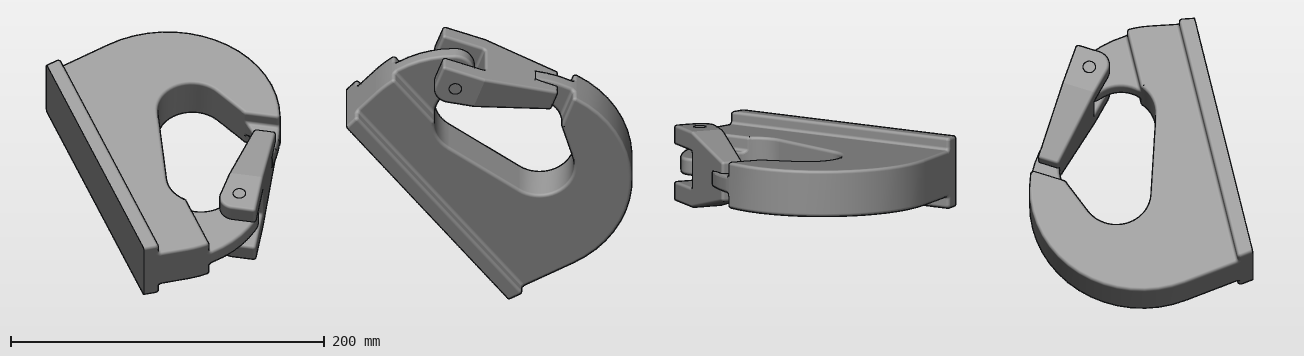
import cadquery as cq
import math


BASE_HALF_WIDTH = 83.7
BASE_HALF_HEIGHT = 22.9
BASE_THICKNESS = 10.0
HOOK_HALF_THICKNESS = 14.9
TANG_HALF_THICKNESS = 5.5
EDGE_RADIUS = 2.0

HOOK_LEFT = -92.6
HOOK_TOP = 129.9
BACK_RADIUS = 72.0
ARM_RIGHT = 89.0
ARM_RADIUS = 66.7
ARM_END_RADIUS = 12.2
ARM_STEP_Y = 43.0

OPENING_RADIUS = 22.0
OPENING_LEFT = (-20.2, 74.8)
OPENING_RIGHT_X = 33.0
TIP_SLOPE = 22.0
TIP_ROUND_X = 2.9

PIN = (64.3, 73.2)
PIN_DIAMETER = 8.0

LATCH_TIP = (15.3, 118.0)
LATCH_ANGLE = -31.4
LATCH_LENGTH = 78.0
LATCH_TIP_WIDTH = 14.0
LATCH_FLARE = 9.2
LATCH_END_RADIUS = 9.8
LATCH_HALF_HEIGHT = 24.5
LATCH_BEND = 49.4
LATCH_TIP_HALF_HEIGHT = 12.5
LATCH_EDGE_RADIUS = 1.8
FORK_START = LATCH_BEND
FORK_HALF_GAP = 12.0
FORK_EDGE_RADIUS = 1.8
TONGUE_STEP = -10.2
TONGUE_END = 15.6

LATCH_ORIGIN = (*LATCH_TIP, 0)
LATCH_U = cq.Vector(math.cos(math.radians(LATCH_ANGLE)), math.sin(math.radians(LATCH_ANGLE)), 0)
LATCH_V = cq.Vector(-LATCH_U.y, LATCH_U.x, 0)

BACK = (HOOK_LEFT + BACK_RADIUS, HOOK_TOP - BACK_RADIUS)
ARM_X = ARM_RIGHT - ARM_RADIUS
ARM = (ARM_X, PIN[1] - math.sqrt((ARM_RADIUS - ARM_END_RADIUS) ** 2 - (PIN[0] - ARM_X) ** 2))
OPENING_RIGHT = (
    OPENING_RIGHT_X,
    PIN[1] - math.sqrt((OPENING_RADIUS + ARM_END_RADIUS) ** 2 - (PIN[0] - OPENING_RIGHT_X) ** 2),
)
TIP_ROUND = (
    TIP_ROUND_X,
    OPENING_LEFT[1] + (TIP_ROUND_X - OPENING_LEFT[0]) * math.tan(math.radians(TIP_SLOPE)),
)


def on_circle(centre, radius, angle):
    a = math.radians(angle)
    return (centre[0] + radius * math.cos(a), centre[1] + radius * math.sin(a))


def bearing(start, end):
    """Direction from start to end, in degrees."""
    return math.degrees(math.atan2(end[1] - start[1], end[0] - start[0]))


def tangent_angle(centre, radius, point, side):
    """Angle on the circle of the tangent from an outside point; side is +1 or -1."""
    opening = math.degrees(math.acos(radius / math.dist(centre, point)))
    return bearing(centre, point) + side * opening


def tongue_end_angle(centre, radius):
    """Angle on the circle of its upper crossing with the line u = TONGUE_END."""
    offset = TONGUE_END + (cq.Vector(*LATCH_TIP) - cq.Vector(*centre)).dot(LATCH_U)
    return LATCH_ANGLE + math.degrees(math.acos(offset / radius))


def add_arc(outline, centre, radius, start, end):
    """Draw a circular arc from the current point, between two angles."""
    middle = on_circle(centre, radius, (start + end) / 2)
    return outline.threePointArc(middle, on_circle(centre, radius, end))


def slab(outline, half_height):
    return outline.close().extrude(half_height, both=True)


def latch_plane():
    """Plane of the latch frame at Z = 0."""
    return cq.Workplane(cq.Plane(origin=LATCH_ORIGIN, xDir=LATCH_U, normal=(0, 0, 1)))


def latch_side_plane():
    """Upright plane along the latch; its local axes are u and Z."""
    return cq.Workplane(cq.Plane(origin=LATCH_ORIGIN, xDir=LATCH_U, normal=(-LATCH_V).toTuple()))


def make_pin():
    return cq.Workplane("XY").center(*PIN).circle(PIN_DIAMETER / 2).extrude(LATCH_HALF_HEIGHT, both=True)


def make_hook_outline():
    base_right = (BASE_HALF_WIDTH, 0)
    base_left = (-BASE_HALF_WIDTH, 0)
    arm_start = tangent_angle(ARM, ARM_RADIUS, base_right, 1)
    arm_top = bearing(ARM, PIN)
    neck = bearing(OPENING_RIGHT, PIN)
    lower_edge = bearing(OPENING_LEFT, OPENING_RIGHT) - 90
    upper_edge = TIP_SLOPE + 90
    back_end = tangent_angle(BACK, BACK_RADIUS, base_left, -1) % 360

    outline = cq.Workplane("XY").moveTo(*base_left).lineTo(*base_right)
    outline = outline.lineTo(*on_circle(ARM, ARM_RADIUS, arm_start))
    outline = add_arc(outline, ARM, ARM_RADIUS, arm_start, arm_top)
    outline = add_arc(outline, PIN, ARM_END_RADIUS, arm_top, neck + 180)
    outline = add_arc(outline, OPENING_RIGHT, OPENING_RADIUS, neck, lower_edge)
    outline = outline.lineTo(*on_circle(OPENING_LEFT, OPENING_RADIUS, lower_edge))
    outline = add_arc(outline, OPENING_LEFT, OPENING_RADIUS, lower_edge, upper_edge - 360)
    outline = outline.lineTo(*on_circle(TIP_ROUND, OPENING_RADIUS, upper_edge))
    tip_inside = tongue_end_angle(TIP_ROUND, OPENING_RADIUS)
    tip_outside = tongue_end_angle(BACK, BACK_RADIUS)
    outline = add_arc(outline, TIP_ROUND, OPENING_RADIUS, upper_edge, tip_inside)
    outline = outline.lineTo(*on_circle(BACK, BACK_RADIUS, tip_outside))
    return add_arc(outline, BACK, BACK_RADIUS, tip_outside, back_end)


def thin_down(body, region, half_thickness):
    """Cut away the part of a region that lies above and below a half thickness."""
    space = region.extrude(BASE_HALF_HEIGHT).translate((0, 0, half_thickness))
    return body.cut(space).cut(space.mirror("XY"))


def round_steps(hook):
    """Round the edges of the three steps in the thickness."""
    base_and_arm_edges = hook.edges("|X").edges("not <Y")
    hook = base_and_arm_edges.fillet(EDGE_RADIUS)
    across_latch = hook.edges(cq.selectors.ParallelDirSelector(LATCH_V))
    return across_latch.edges(cq.selectors.CenterNthSelector(LATCH_U, 0)).fillet(EDGE_RADIUS)


def mid_height_faces(body):
    """Upright faces that are centred on Z = 0."""
    reach = 2 * HOOK_TOP
    band = TANG_HALF_THICKNESS / 2
    return body.faces(cq.selectors.BoxSelector((-reach, -reach, -band), (reach, reach, band)))


def round_outline(hook):
    """Round both rims of the side walls, but not of the base face and the tongue's end."""
    walls = mid_height_faces(hook).faces("not <Y")
    tongue_end_edges = cq.selectors.ParallelDirSelector(LATCH_V)
    rims = walls.edges("not |Z").edges(cq.selectors.InverseSelector(tongue_end_edges))
    return rims.fillet(EDGE_RADIUS)


def make_hook():
    hook = slab(make_hook_outline(), BASE_HALF_HEIGHT)
    flat = cq.Workplane("XY")
    reach = 2 * HOOK_TOP

    above_base = flat.moveTo(0, BASE_THICKNESS + HOOK_TOP / 2).rect(reach, HOOK_TOP)
    hook = thin_down(hook, above_base, HOOK_HALF_THICKNESS)

    arm_region = flat.moveTo(OPENING_RIGHT_X, ARM_STEP_Y).rect(HOOK_TOP, HOOK_TOP / 2, centered=False)
    hook = thin_down(hook, arm_region, TANG_HALF_THICKNESS)

    tongue_length = TONGUE_END - TONGUE_STEP
    tongue_middle = latch_plane().moveTo(TONGUE_STEP + tongue_length / 2, 0)
    tongue_region = tongue_middle.rect(tongue_length, HOOK_TOP / 2)
    hook = thin_down(hook, tongue_region, TANG_HALF_THICKNESS)

    hook = round_outline(round_steps(hook))
    return hook.cut(make_pin())


def make_latch_outline():
    lower_v = -LATCH_TIP_WIDTH - LATCH_LENGTH * math.tan(math.radians(LATCH_FLARE))
    outline = latch_plane().polyline([
        (0, 0),
        (LATCH_LENGTH, 0),
        (LATCH_LENGTH, lower_v),
        (0, -LATCH_TIP_WIDTH),
    ])
    blank = slab(outline, LATCH_HALF_HEIGHT)
    lower_end = cq.selectors.CenterNthSelector(LATCH_U - LATCH_V, -1)
    blank = blank.edges("|Z").edges(lower_end).fillet(LATCH_END_RADIUS)
    upper_end = cq.selectors.CenterNthSelector(LATCH_U + LATCH_V, -1)
    blank = blank.edges("|Z").edges(upper_end).fillet(LATCH_EDGE_RADIUS)
    tip = cq.selectors.CenterNthSelector(LATCH_U, 0)
    return blank.edges("|Z").edges(tip).fillet(LATCH_EDGE_RADIUS)


def slope_faces(blank):
    """Slope the upper and lower faces down towards the tip."""
    side = latch_side_plane().polyline([
        (0, LATCH_TIP_HALF_HEIGHT),
        (LATCH_BEND, LATCH_HALF_HEIGHT),
        (LATCH_LENGTH, LATCH_HALF_HEIGHT),
        (LATCH_LENGTH, -LATCH_HALF_HEIGHT),
        (LATCH_BEND, -LATCH_HALF_HEIGHT),
        (0, -LATCH_TIP_HALF_HEIGHT),
    ])
    return blank.intersect(slab(side, LATCH_LENGTH))


def cut_fork(latch):
    """Open the pin end into two legs, with rounded inner corners and mouth edges."""
    slot_length = 2 * (LATCH_LENGTH - FORK_START)
    slot = (
        latch_side_plane()
        .center(FORK_START + slot_length / 2, 0)
        .rect(slot_length, 2 * FORK_HALF_GAP)
        .extrude(LATCH_LENGTH, both=True)
        .edges(cq.selectors.ParallelDirSelector(LATCH_V))
        .fillet(FORK_EDGE_RADIUS)
    )
    latch = latch.cut(slot)
    lower_v = -LATCH_TIP_WIDTH - FORK_START * math.tan(math.radians(LATCH_FLARE))
    mouth_middle = latch_plane().plane.toWorldCoords((FORK_START, lower_v))
    mouth = cq.selectors.NearestToPointSelector(mouth_middle.toTuple())
    return latch.edges(mouth).fillet(FORK_EDGE_RADIUS)


def make_latch(hook):
    latch = slope_faces(make_latch_outline())
    latch = mid_height_faces(latch).edges("not |Z").fillet(LATCH_EDGE_RADIUS)
    latch = cut_fork(latch)
    return latch.cut(hook).cut(make_pin())


hook = make_hook()
latch = make_latch(hook)
pin = make_pin()
result = cq.Compound.makeCompound([hook.val(), latch.val(), pin.val()])